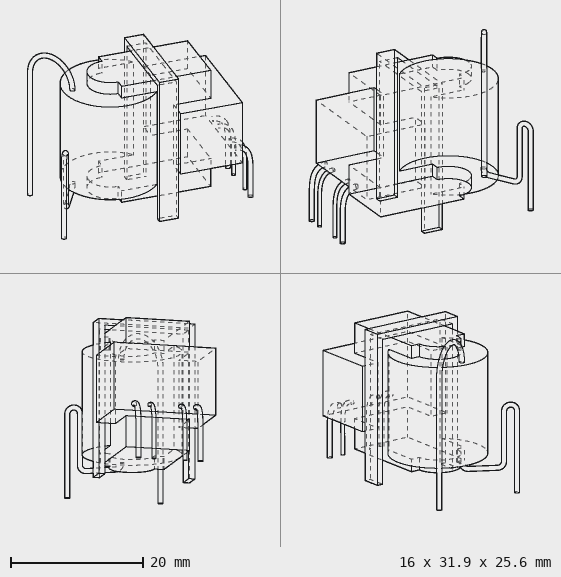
import cadquery as cq
import math


core_width = 10.0
core_back = 14.4
core_bottom = 3.0
core_height = 20.02
core_top = core_bottom + core_height
core_mid = core_bottom + core_height / 2
nose_radius = 3.5

coil_radius = 7.6
coil_height = 16.0
coil_bottom = core_mid - coil_height / 2
coil_top = core_mid + coil_height / 2

clamp_width = 15.15
clamp_depth = 3.1
clamp_front = 5.15
clamp_thickness = 1.0
clamp_top = core_top + clamp_thickness

block_width = 16.0
block_depth = 10.0
block_height = 10.4
block_front = 8.42
block_back = block_front + block_depth

thick_diameter = 0.8
thin_diameter = 0.6
thick_pin_offset = 4.88
thin_pin_offset = 2.42
pin_exit_height = 8.83
pin_reach = 2.45
pin_bend_bottom = 2.95

lead_root_y = -6.1
lead_angle = 29.3
lead_reach = 8.42
lead_overlap = 0.32
bend_radius = 1.0
loop_base = 12.98


def box(width, depth, height, front, bottom):
    """Block centred on X, starting at the given front and bottom."""
    return (cq.Workplane("XY").box(width, depth, height, centered=(True, False, False))
            .translate((0, front, bottom)))


def make_core():
    nose = cq.Workplane("XY").workplane(offset=core_bottom).circle(nose_radius).extrude(core_height)
    return box(core_width, core_back, core_height, 0, core_bottom).union(nose)


def make_coil():
    return cq.Workplane("XY").workplane(offset=coil_bottom).circle(coil_radius).extrude(coil_height)


def make_clamp():
    frame = box(clamp_width, clamp_depth, clamp_top, clamp_front, 0)
    opening = box(clamp_width - 2 * clamp_thickness, clamp_depth, core_top, clamp_front, 0)
    return frame.cut(opening)


def make_pin(x, diameter):
    """Pin that curves down from the block in a smooth curve, then runs straight to the foot."""
    foot_y = block_back + pin_reach
    path = (cq.Workplane("YZ", origin=(x, 0, 0))
            .moveTo(foot_y, 0)
            .lineTo(foot_y, pin_bend_bottom)
            .spline([(foot_y, pin_bend_bottom), (block_back, pin_exit_height)],
                    tangents=[(0, 1), (-1, 0)]))
    return (cq.Workplane("XY", origin=(x, foot_y, 0))
            .circle(diameter / 2).sweep(path))


def sweep_lead(side, draw_path):
    """Sweep a lead from its foot; side is -1 or 1 for the X direction it leans to."""
    run = (side * math.cos(math.radians(lead_angle)), -math.sin(math.radians(lead_angle)), 0)
    normal = (run[1], -run[0], 0)
    plane = cq.Plane(origin=(0, lead_root_y, 0), xDir=run, normal=normal)
    path = draw_path(cq.Workplane(plane).moveTo(lead_reach, 0))
    foot = (lead_reach * run[0], lead_root_y + lead_reach * run[1], 0)
    return cq.Workplane("XY", origin=foot).circle(thick_diameter / 2).sweep(path)


def upper_lead_path(start):
    """Straight leg and a semicircle over to the top of the coil."""
    loop_radius = lead_reach / 2
    return (start.lineTo(lead_reach, coil_top)
            .threePointArc((loop_radius, coil_top + loop_radius), (0, coil_top))
            .lineTo(0, coil_top - lead_overlap))


def lower_lead_path(start):
    """Straight leg, hairpin, descent and horizontal run back under the coil."""
    riser = lead_reach - 2 * bend_radius
    run_height = coil_bottom - bend_radius
    arc_inset = bend_radius * (1 - math.sqrt(0.5))
    return (start.lineTo(lead_reach, loop_base)
            .threePointArc((lead_reach - bend_radius, loop_base + bend_radius), (riser, loop_base))
            .lineTo(riser, coil_bottom)
            .threePointArc((riser - arc_inset, run_height + arc_inset), (riser - bend_radius, run_height))
            .lineTo(bend_radius, run_height)
            .threePointArc((arc_inset, run_height + arc_inset), (0, coil_bottom))
            .lineTo(0, coil_bottom + lead_overlap))


block = box(block_width, block_depth, block_height, block_front, core_mid - block_height / 2)
result = make_core().union(make_coil()).union(make_clamp()).union(block)

for side in (-1, 1):
    result = result.union(make_pin(side * thick_pin_offset, thick_diameter))
    result = result.union(make_pin(side * thin_pin_offset, thin_diameter))

result = result.union(sweep_lead(-1, upper_lead_path))
result = result.union(sweep_lead(1, lower_lead_path))